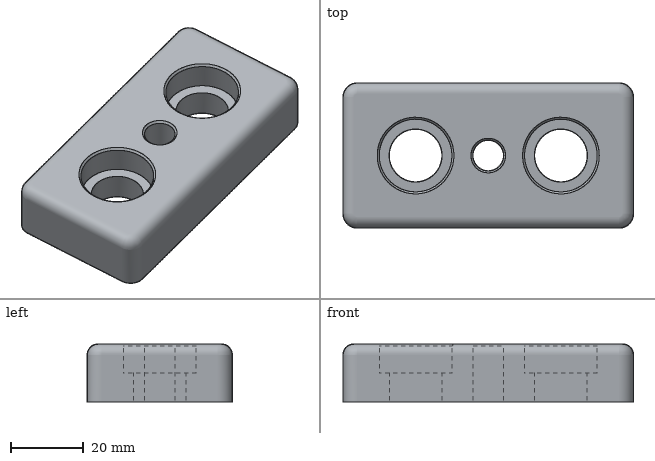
import cadquery as cq

length = 80.0
width = length / 2
height = 16.0
corner_radius = 4.0
top_fillet = 3.0

bolt_spacing = length / 2
bolt_diameter = 14.5
counterbore_diameter = 20.0
counterbore_depth = height / 2
center_diameter = 8.4
rim_chamfer = 0.6


def rounded_block():
    """Block standing on Z = 0 with rounded corners and a rounded top edge."""
    block = cq.Workplane("XY").box(length, width, height, centered=(True, True, False))
    return block.edges("|Z").fillet(corner_radius).faces(">Z").edges().fillet(top_fillet)


def chamfered_bore(x, diameter, depth):
    """Cutter sunk from the top face, flared at its rim by a 45 degree chamfer."""
    top = cq.Workplane("XY", origin=(x, 0, height))
    bore = top.circle(diameter / 2).extrude(-depth)
    rim = top.circle(diameter / 2 + rim_chamfer).extrude(-rim_chamfer, taper=45)
    return bore.union(rim)


result = rounded_block()

for bolt_x in (-bolt_spacing / 2, bolt_spacing / 2):
    through_hole = cq.Workplane("XY", origin=(bolt_x, 0, 0)).circle(bolt_diameter / 2).extrude(height)
    result = result.cut(chamfered_bore(bolt_x, counterbore_diameter, counterbore_depth))
    result = result.cut(through_hole)

result = result.cut(chamfered_bore(0, center_diameter, height))